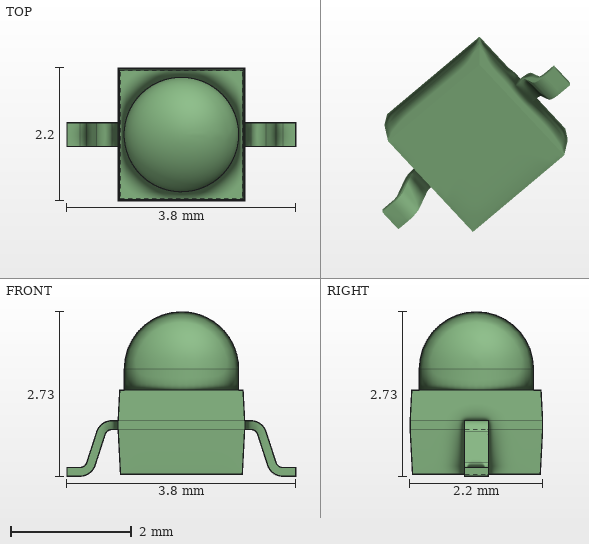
import cadquery as cq
import math

lead_span = 3.8
body_length = 2.1
body_width = 2.2
body_bottom = 0.03
body_top = 1.43
draft_angle = 3.0

lead_thickness = 0.15
lead_width = 0.4
lead_top = 0.925
shoulder_end = 1.15
outer_bend_radius = 0.265
bend_angle = 72.0
lead_embed = 0.075

lens_radius = 0.95
lens_cylinder_height = 0.35

band_bottom = lead_top - lead_thickness


def make_body():
    """Molded body: a straight band with a drafted block above and below."""
    band = (
        cq.Workplane("XY", origin=(0, 0, band_bottom))
        .rect(body_length, body_width)
        .extrude(lead_thickness)
    )
    upper = (
        cq.Workplane("XY", origin=(0, 0, lead_top))
        .rect(body_length, body_width)
        .extrude(body_top - lead_top, taper=draft_angle)
    )
    lower = (
        cq.Workplane("XY", origin=(0, 0, band_bottom))
        .rect(body_length, body_width)
        .extrude(body_bottom - band_bottom, taper=draft_angle)
    )
    return band.union(upper).union(lower)


def make_lens():
    """Revolve half of the lens outline about the vertical axis."""
    dome_base = body_top + lens_cylinder_height
    arc_mid = lens_radius * math.sqrt(0.5)
    return (
        cq.Workplane("XZ")
        .moveTo(0, body_top)
        .lineTo(lens_radius, body_top)
        .lineTo(lens_radius, dome_base)
        .threePointArc((arc_mid, dome_base + arc_mid), (0, dome_base + lens_radius))
        .close()
        .revolve(360, (0, 0), (0, 1))
    )


def make_lead():
    """Lead on the +X side: shoulder, upper bend, sloping leg, lower bend and foot."""
    inner_bend_radius = outer_bend_radius - lead_thickness
    angle = math.radians(bend_angle)

    bend_drop = (outer_bend_radius + inner_bend_radius) * (1 - math.cos(angle))
    leg_length = (band_bottom - bend_drop) / math.sin(angle)
    bend_run = (outer_bend_radius + inner_bend_radius) * math.sin(angle)
    foot_start = shoulder_end + bend_run + leg_length * math.cos(angle)
    foot_end = lead_span / 2

    def upper_bend(radius, turn):
        return (
            shoulder_end + radius * math.sin(turn),
            lead_top - outer_bend_radius + radius * math.cos(turn),
        )

    def lower_bend(radius, turn):
        return (
            foot_start - radius * math.sin(turn),
            outer_bend_radius - radius * math.cos(turn),
        )

    inside_body = body_length / 2 - lead_embed
    profile = (
        cq.Workplane("XZ")
        .moveTo(inside_body, lead_top)
        .lineTo(shoulder_end, lead_top)
        .threePointArc(upper_bend(outer_bend_radius, angle / 2), upper_bend(outer_bend_radius, angle))
        .lineTo(*lower_bend(inner_bend_radius, angle))
        .threePointArc(lower_bend(inner_bend_radius, angle / 2), (foot_start, lead_thickness))
        .lineTo(foot_end, lead_thickness)
        .lineTo(foot_end, 0)
        .lineTo(foot_start, 0)
        .threePointArc(lower_bend(outer_bend_radius, angle / 2), lower_bend(outer_bend_radius, angle))
        .lineTo(*upper_bend(inner_bend_radius, angle))
        .threePointArc(upper_bend(inner_bend_radius, angle / 2), (shoulder_end, band_bottom))
        .lineTo(inside_body, band_bottom)
        .close()
    )
    return profile.extrude(lead_width / 2, both=True)


lead = make_lead()
result = make_body().union(make_lens()).union(lead).union(lead.mirror("YZ"))